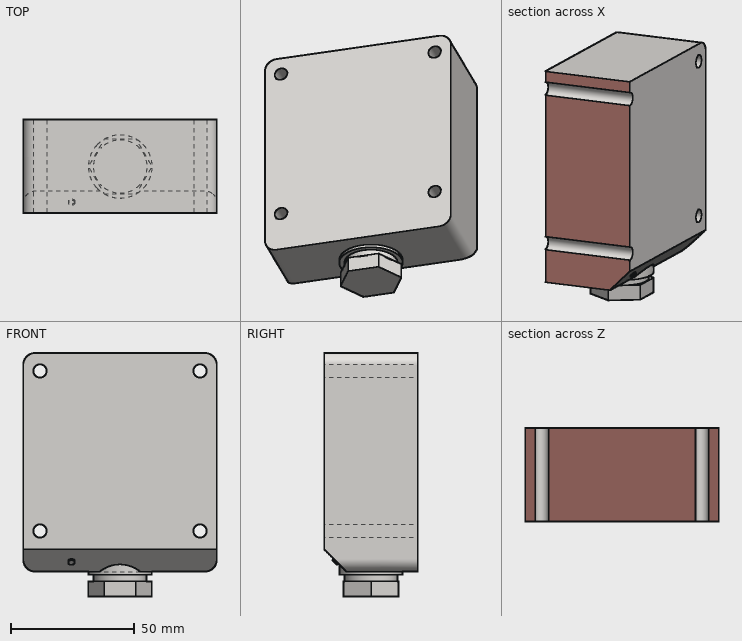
import cadquery as cq

WIDTH = 78.74
DEPTH = 38.1
OVERALL_HEIGHT = 99.06
BODY_HEIGHT = 88.9
COVER_DEPTH = 15.24
CORNER_RADIUS = 5.0
CHAMFER = 9.1

FACE_CENTER_DROP = 39.85
FACE_CENTER_Z = BODY_HEIGHT - FACE_CENTER_DROP
RING_OUTER_DIAMETER = 75.0
RING_INNER_DIAMETER = 71.0
RING_DEPTH = 2.0

HOLE_SPACING = 65.0
HOLE_DIAMETER = 5.3

GLAND_Y = DEPTH / 2
GLAND_LENGTH = OVERALL_HEIGHT - BODY_HEIGHT
HEX_HEIGHT = 6.2
HEX_ACROSS_CORNERS = 25.8
NECK_DIAMETER = 21.7
FLANGE_DIAMETER = 25.8
FLANGE_DROP = 1.27
FLANGE_TOP_Z = CHAMFER / 2

LAMP_X = -19.7
LAMP_Z = 4.25
LAMP_DIAMETER = 2.7
LAMP_PROTRUSION = 0.76
LAMP_EMBED = 1.0


def make_slab(y_front, depth):
    """Rounded rectangular slab of the housing between two planes of constant Y."""
    slab = cq.Workplane("XY").box(WIDTH, depth, BODY_HEIGHT, centered=(True, False, False))
    return slab.edges("|Y").fillet(CORNER_RADIUS).translate((0, y_front, 0))


def make_chamfer_cutter():
    """Triangular prism that slopes the lower front edge at 45 degrees."""
    profile = cq.Workplane("YZ").polyline([(0, 0), (CHAMFER, 0), (0, CHAMFER)]).close()
    return profile.extrude(WIDTH / 2, both=True)


def make_ring():
    """Rim of the sensing face, its front flush with the housing."""
    front = cq.Workplane("XZ", origin=(0, 0, FACE_CENTER_Z))
    return front.circle(RING_OUTER_DIAMETER / 2).circle(RING_INNER_DIAMETER / 2).extrude(-RING_DEPTH)


def make_mounting_holes():
    """Four through holes at the corners of a square."""
    front = cq.Workplane("XZ", origin=(0, 0, FACE_CENTER_Z))
    pattern = front.rect(HOLE_SPACING, HOLE_SPACING, forConstruction=True).vertices()
    return pattern.circle(HOLE_DIAMETER / 2).extrude(-DEPTH)


def make_gland():
    """Hexagon nut, neck and flange stacked along Z."""
    base = cq.Workplane("XY", origin=(0, GLAND_Y, -GLAND_LENGTH))
    nut = base.polygon(6, HEX_ACROSS_CORNERS).extrude(HEX_HEIGHT)
    neck = base.circle(NECK_DIAMETER / 2).extrude(GLAND_LENGTH)
    flange_base = cq.Workplane("XY", origin=(0, GLAND_Y, -FLANGE_DROP))
    flange = flange_base.circle(FLANGE_DIAMETER / 2).extrude(FLANGE_DROP + FLANGE_TOP_Z)
    return nut.union(neck).union(flange)


def make_lamp():
    """Short pin normal to the chamfer."""
    outward = cq.Vector(0, -1, -1).normalized()
    foot = cq.Vector(LAMP_X, CHAMFER - LAMP_Z, LAMP_Z) - outward * LAMP_EMBED
    plane = cq.Plane(origin=foot, xDir=(1, 0, 0), normal=outward)
    return cq.Workplane(plane).circle(LAMP_DIAMETER / 2).extrude(LAMP_EMBED + LAMP_PROTRUSION)


front_housing = make_slab(0, DEPTH - COVER_DEPTH).cut(make_chamfer_cutter())
back_cover = make_slab(DEPTH - COVER_DEPTH, COVER_DEPTH)
ring = make_ring()
result = front_housing.cut(ring).union(ring, clean=False)
result = result.union(back_cover, clean=False)
result = result.cut(make_mounting_holes(), clean=False)
result = result.union(make_gland(), clean=False)
result = result.union(make_lamp(), clean=False)